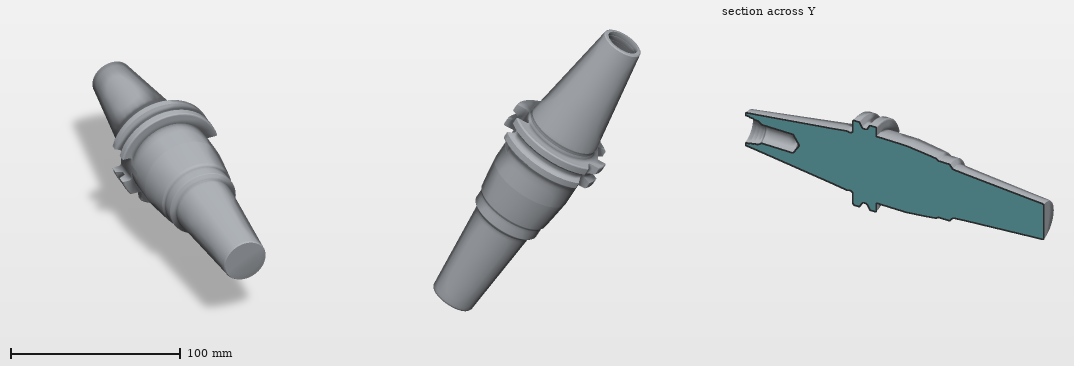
import cadquery as cq
import math

LENGTH = 198.2

GAUGE_X = 67.6
GAUGE_R = 22.2
TAPER_SLOPE = 7 / 48
TAIL_CHAMFER = 0.5
NECK_R = 21.8
NECK_CHAMFER = 1.2
ROOT_FLARE_LENGTH = 1.4
ROOT_R = 22.8

FLANGE_X = 71.4
FLANGE_WIDTH = 15.9
FLANGE_R = 31.7
FLANGE_FILLET = 1.0
GROOVE_X = 79.3
GROOVE_MOUTH = 6.7
GROOVE_R = 27.8
GROOVE_FILLET = 1.2
GROOVE_FLANK_ANGLE = 26

SLOT_HALF_WIDTH = 8.1
SLOT_END_X = 95.0
SLOT_CORNER_R = 1.5
FRONT_SLOT_BITE = 0.14
REAR_SLOT_FLOOR = 22.5
NOTCH_Y = 18.5
NOTCH_Z = 18.5

BODY_R = 25.0
BODY_END_X = 107.0
SHOULDER_X = 126.7
SHOULDER_R = 22.5
SHOULDER_MID_BULGE = 0.1
RING_X = 128.3
RING_R = 21.2
STEP_FILLET = 0.5
RING_CHAMFER_X = 135.6
NOSE_X = 138.0
NOSE_R = 18.2
TIP_R = 13.5
TIP_CHAMFER = 1.0

MOUTH_R = 10.0
STEP_COUNT = 3
STEP_LENGTH = 2.8
STEP_HEIGHT = 0.5
LAST_STEP_LENGTH = 1.0
DRILL_R = 6.7
BORE_DEPTH = 31.7
DRILL_HALF_ANGLE = 59

TAIL_R = GAUGE_R - GAUGE_X * TAPER_SLOPE


def turned_body():
    """Revolve the outer outline, without the flange."""
    outline = (
        cq.Workplane("XY")
        .moveTo(0, 0)
        .lineTo(0, TAIL_R - TAIL_CHAMFER)
        .lineTo(TAIL_CHAMFER, TAIL_R + TAIL_CHAMFER * TAPER_SLOPE)
        .lineTo(GAUGE_X, GAUGE_R)
        .lineTo(GAUGE_X + NECK_CHAMFER, NECK_R)
        .lineTo(FLANGE_X - ROOT_FLARE_LENGTH, NECK_R)
        .lineTo(FLANGE_X, ROOT_R)
        .lineTo(FLANGE_X, BODY_R)
        .lineTo(BODY_END_X, BODY_R)
        .threePointArc(
            (
                (BODY_END_X + SHOULDER_X) / 2,
                (BODY_R + SHOULDER_R) / 2 + SHOULDER_MID_BULGE,
            ),
            (SHOULDER_X, SHOULDER_R),
        )
        .lineTo(RING_X, RING_R)
        .lineTo(RING_CHAMFER_X, RING_R)
        .lineTo(NOSE_X, NOSE_R)
        .lineTo(LENGTH - TIP_CHAMFER, TIP_R)
        .lineTo(LENGTH, TIP_R - TIP_CHAMFER / 2)
        .lineTo(LENGTH, 0)
        .close()
    )
    body = outline.revolve(360, (0, 0, 0), (1, 0, 0))
    for corner_x in (SHOULDER_X, RING_X, RING_CHAMFER_X, NOSE_X):
        body = body.edges(
            cq.selectors.BoxSelector(
                (corner_x - STEP_FILLET, -BODY_R, -BODY_R),
                (corner_x + STEP_FILLET, BODY_R, BODY_R),
                boundingbox=True,
            )
        ).fillet(STEP_FILLET)
    return body


def flange():
    """Disc with rounded rims and a V groove around it."""
    disc = (
        cq.Workplane("YZ", origin=(FLANGE_X, 0, 0))
        .circle(FLANGE_R)
        .extrude(FLANGE_WIDTH)
        .edges()
        .fillet(FLANGE_FILLET)
    )
    half_mouth = GROOVE_MOUTH / 2
    half_floor = half_mouth - (FLANGE_R - GROOVE_R) * math.tan(math.radians(GROOVE_FLANK_ANGLE))
    groove = (
        cq.Workplane("XY")
        .polyline(
            [
                (GROOVE_X - half_mouth, FLANGE_R),
                (GROOVE_X - half_floor, GROOVE_R),
                (GROOVE_X + half_floor, GROOVE_R),
                (GROOVE_X + half_mouth, FLANGE_R),
            ]
        )
        .close()
        .revolve(360, (0, 0, 0), (1, 0, 0))
        .edges(cq.selectors.RadiusNthSelector(0))
        .fillet(GROOVE_FILLET)
    )
    return disc.cut(groove)


def drive_slot(side, floor):
    """Cutter for a slot on the +Y (side = 1) or -Y (side = -1) side of the flange."""
    depth = FLANGE_R - floor
    return (
        cq.Workplane("XY")
        .box(SLOT_END_X - FLANGE_X, depth, 2 * SLOT_HALF_WIDTH, centered=(False, True, True))
        .translate((FLANGE_X, side * (floor + depth / 2), 0))
        .edges("|X")
        .edges("<Y" if side > 0 else ">Y")
        .fillet(SLOT_CORNER_R)
    )


def orientation_notch():
    """Cutter for the square notch through the flange on its -Y, -Z side."""
    return (
        cq.Workplane("XY")
        .box(FLANGE_WIDTH, FLANGE_R, FLANGE_R, centered=False)
        .translate((FLANGE_X, -NOTCH_Y - FLANGE_R, -NOTCH_Z - FLANGE_R))
        .edges("|X and >Y and >Z")
        .fillet(SLOT_CORNER_R)
    )


def bore():
    """Cutter for the stepped bore with a drill-point bottom."""
    last_step_r = MOUTH_R - STEP_COUNT * STEP_HEIGHT
    cone_x = STEP_COUNT * STEP_LENGTH + LAST_STEP_LENGTH
    tip_x = BORE_DEPTH + DRILL_R / math.tan(math.radians(DRILL_HALF_ANGLE))

    outline = cq.Workplane("XY").lineTo(0, MOUTH_R)
    for step in range(1, STEP_COUNT + 1):
        outline = outline.hLineTo(step * STEP_LENGTH).vLine(-STEP_HEIGHT)
    outline = (
        outline.hLineTo(cone_x)
        .lineTo(cone_x + last_step_r - DRILL_R, DRILL_R)
        .hLineTo(BORE_DEPTH)
        .lineTo(tip_x, 0)
        .close()
    )
    return outline.revolve(360, (0, 0, 0), (1, 0, 0))


result = (
    turned_body()
    .union(flange())
    .cut(drive_slot(-1, BODY_R - FRONT_SLOT_BITE))
    .cut(drive_slot(1, REAR_SLOT_FLOOR))
    .cut(orientation_notch())
    .cut(bore())
)